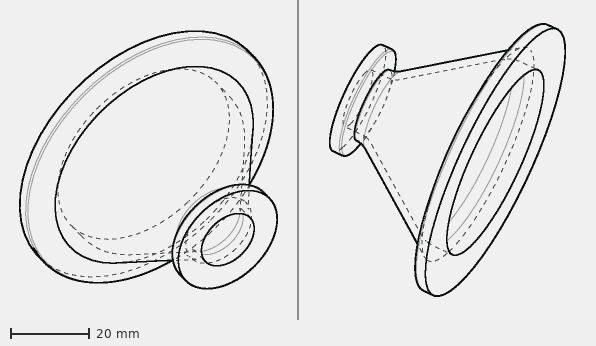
import cadquery as cq
import math

LENGTH = 40.0
WALL = 2.0

LARGE_FLANGE_RADIUS = 37.5
SMALL_FLANGE_RADIUS = 15.0
RIM_THICKNESS = 3.1
BACK_SLOPE = math.tan(math.radians(15.0))
RIM_FILLET = 0.5

LARGE_BORE_RADIUS = 26.0
SMALL_BORE_RADIUS = 8.0
NECK_RADIUS = SMALL_BORE_RADIUS + WALL
CONE_ANGLE = math.radians(35.0)
CONE_SLOPE = math.tan(CONE_ANGLE)
NECK_CORNER_X = 33.7
BLEND_RADIUS = 5.0

BORE_SMALL_CORNER_X = NECK_CORNER_X - WALL * math.tan(CONE_ANGLE / 2)
BORE_LARGE_CORNER_X = BORE_SMALL_CORNER_X - (LARGE_BORE_RADIUS - SMALL_BORE_RADIUS) / CONE_SLOPE

EDGE_TOLERANCE = 0.01


def revolve_about_x(points):
    """Revolve a closed (x, radius) outline about the X axis."""
    outline = cq.Workplane("XZ").polyline(points).close()
    return outline.revolve(axisStart=(0, 0, 0), axisEnd=(1, 0, 0))


def fillet_circle(body, x, radius, fillet):
    """Round the outline's circular edge of the given radius in the plane at x."""
    span = radius + EDGE_TOLERANCE
    box = cq.selectors.BoxSelector(
        (x - EDGE_TOLERANCE, -span, -span),
        (x + EDGE_TOLERANCE, span, span),
        boundingbox=True,
    )
    return body.edges(box).fillet(fillet)


def make_outer_body():
    """Solid cone with a clamp flange at each end."""
    cone_radius_at_rim = NECK_RADIUS + (NECK_CORNER_X - RIM_THICKNESS) * CONE_SLOPE
    back_depth = (LARGE_FLANGE_RADIUS - cone_radius_at_rim) / (1 / BACK_SLOPE - CONE_SLOPE)
    back_radius = LARGE_FLANGE_RADIUS - back_depth / BACK_SLOPE

    small_rim_x = LENGTH - RIM_THICKNESS
    small_back_x = small_rim_x - (SMALL_FLANGE_RADIUS - NECK_RADIUS) * BACK_SLOPE

    body = revolve_about_x([
        (0, 0),
        (0, LARGE_FLANGE_RADIUS),
        (RIM_THICKNESS, LARGE_FLANGE_RADIUS),
        (RIM_THICKNESS + back_depth, back_radius),
        (NECK_CORNER_X, NECK_RADIUS),
        (small_back_x, NECK_RADIUS),
        (small_rim_x, SMALL_FLANGE_RADIUS),
        (LENGTH, SMALL_FLANGE_RADIUS),
        (LENGTH, 0),
    ])
    body = fillet_circle(body, RIM_THICKNESS, LARGE_FLANGE_RADIUS, RIM_FILLET)
    body = fillet_circle(body, small_rim_x, SMALL_FLANGE_RADIUS, RIM_FILLET)
    return fillet_circle(body, NECK_CORNER_X, NECK_RADIUS, BLEND_RADIUS)


def make_bore():
    """Tapered through bore with a straight length at each end."""
    bore = revolve_about_x([
        (0, 0),
        (0, LARGE_BORE_RADIUS),
        (BORE_LARGE_CORNER_X, LARGE_BORE_RADIUS),
        (BORE_SMALL_CORNER_X, SMALL_BORE_RADIUS),
        (LENGTH, SMALL_BORE_RADIUS),
        (LENGTH, 0),
    ])
    bore = fillet_circle(bore, BORE_LARGE_CORNER_X, LARGE_BORE_RADIUS, BLEND_RADIUS)
    return fillet_circle(bore, BORE_SMALL_CORNER_X, SMALL_BORE_RADIUS, BLEND_RADIUS)


result = make_outer_body().cut(make_bore())